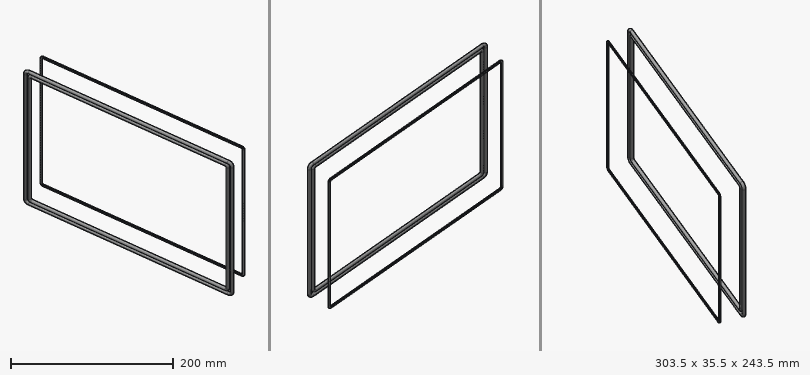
import cadquery as cq

LENGTH = 303.5
DEPTH = 35.5
HEIGHT = 243.5

TUBE_DIAMETER = 5.0
TUBE_GAP = 1.2
OUTER_BEND_RADIUS = 5.5
INNER_BEND_RADIUS = 3.0
TUBE_Y = -DEPTH / 2 + TUBE_DIAMETER / 2

GASKET_INSET = 4.0
GASKET_WIDTH = 3.0
GASKET_THICKNESS = 1.5
GASKET_CORNER_RADIUS = 4.5
GASKET_FRONT_Y = DEPTH / 2 - GASKET_THICKNESS


def tube_loop(inset, bend_radius):
    """Closed rectangular loop of round bar, its outer edge inset from the overall outline."""
    half_length = LENGTH / 2 - inset - TUBE_DIAMETER / 2
    half_height = HEIGHT / 2 - inset - TUBE_DIAMETER / 2
    bend_x = half_length - bend_radius
    bend_z = half_height - bend_radius

    path = (
        cq.Workplane("XZ", origin=(0, TUBE_Y, 0))
        .moveTo(0, -half_height)
        .lineTo(bend_x, -half_height)
        .radiusArc((half_length, -bend_z), -bend_radius)
        .lineTo(half_length, bend_z)
        .radiusArc((bend_x, half_height), -bend_radius)
        .lineTo(-bend_x, half_height)
        .radiusArc((-half_length, bend_z), -bend_radius)
        .lineTo(-half_length, -bend_z)
        .radiusArc((-bend_x, -half_height), -bend_radius)
        .close()
    )
    section = cq.Workplane("YZ", origin=(0, TUBE_Y, -half_height)).circle(TUBE_DIAMETER / 2)
    return section.sweep(path)


def rounded_block(inset, corner_radius):
    """Gasket-thick plate with rounded corners, inset from the overall outline."""
    return (
        cq.Workplane("XZ", origin=(0, GASKET_FRONT_Y, 0))
        .rect(LENGTH - 2 * inset, HEIGHT - 2 * inset)
        .extrude(-GASKET_THICKNESS)
        .edges("|Y")
        .fillet(corner_radius)
    )


def make_gasket():
    """Flat strip of constant width running around the rectangle."""
    outside = rounded_block(GASKET_INSET, GASKET_CORNER_RADIUS)
    opening = rounded_block(GASKET_INSET + GASKET_WIDTH, GASKET_CORNER_RADIUS - GASKET_WIDTH)
    return outside.cut(opening)


outer_tube = tube_loop(0, OUTER_BEND_RADIUS)
inner_tube = tube_loop(TUBE_DIAMETER + TUBE_GAP, INNER_BEND_RADIUS)
gasket = make_gasket()

result = cq.Compound.makeCompound([outer_tube.val(), inner_tube.val(), gasket.val()])